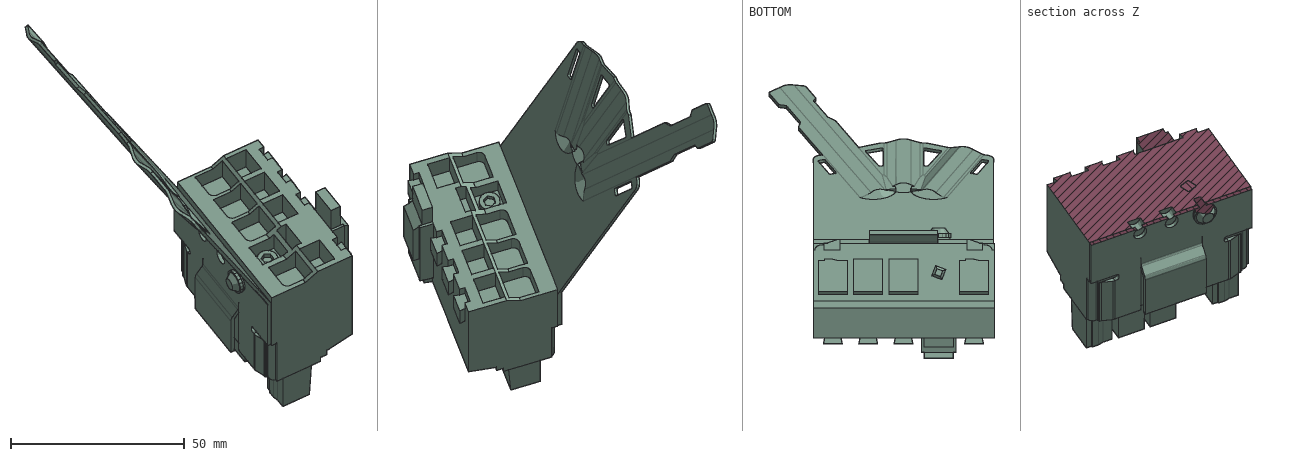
import cadquery as cq
import math

EPS = 0.7
row_width = 50.8
pole_count = 5
pitch = row_width / pole_count
ground_x = pitch
plug_poles = [-2 * pitch, -pitch, 0, 2 * pitch]
outer_poles = [-2 * pitch, 2 * pitch]

left_x, right_x = -26.0, 26.2
back_y = 27.2
top_z = 39.6
front_top_z = 37.3
back_bottom_z = 5.6
step_front_y, step_back_y, step_z = 16.5, 18.6, 1.6
slope_front_y, slope_back_y = 11.3, 15.6

pocket_floor_z = 32.1
front_pocket_w, front_pocket_y0, front_pocket_y1 = 9.2, 5.3, 14.5
front_pocket_r = 1.8
rear_pocket_w, rear_pocket_y0, rear_pocket_y1 = 8.5, 15.6, 22.3
ground_slot_w, ground_slot_y0, ground_slot_y1 = 8.5, 14.0, 17.2
well_w, well_y0, well_y1 = 7.6, 4.5, 12.8

key_inner_w, key_outer_w = 4.8, 5.5
key_notch_y, key_y = 25.5, 28.8
key_bottom_z, key_top_z = 29.2, 36.3

plate_t = 1.2
plate_half_w = 26.0
plate_bottom_z = -0.4
bend_z = 34.7
hole_r = 2.0
plate_hole_z = 30.3
housing_hole_z = 32.5
housing_hole_depth = 2.7

corner_depth = 1.8
corner_top_z = 16.5
rail_top_z = 14.9
rail_inner_x = 18.3
slot_inner_x = 17.0
slot_top_z = 17.0
keyhole_r = 0.8

clip_half_w, clip_window_half_w = 9.8, 10.0
clip_slit_top_z = 20.1
clip_root_z, clip_knee_z = 17.5, 14.3
clip_root_r, clip_knee_r = 1.1, 2.0
clip_reach = 3.8

flap_angle = 27.0
flap_t = 1.0
fan_angle = 21.5
fan_apex = 10.9
channel_half_w, toe_half_w, crown_half_w = 5.6, 4.8, 2.2
toe_h, shoulder_h, crown_h = 0.1, 1.0, 1.4
outer_channel_start, middle_channel_start = 17.0, 19.7
channel_end_r, channel_end_run = 6.8, 3.4
straight_toe_h = shoulder_h * (channel_half_w - toe_half_w) / (channel_half_w - crown_half_w)
web_half_w, web_h = 1.8, 0.8
web_start, web_end = 20.5, 31.4
tongue_half_w, tongue_neck_half_w = 5.7, 4.2
tongue_length = 91.6
tongue_tip_r = 0.7
neck_steps = [68.0, 70.2, 81.3, 83.5]
flap_peak_x, flap_peak_t = 6.7, 62.0
flap_shoulder_x, flap_shoulder_t = 23.5, 54.5
flap_corner_t = 51.1
flap_corner_mid = (25.4, 53.4)
tie_slot_w, tie_slot_length = 2.2, 9.3
tie_slot_offset, tie_slot_middle = 7.2, 41.5
opening_r = 0.4

prong_w, prong_length = 8.3, 14.5
prong_rib = 0.4

flange_sides = 20
pin_side, pin_turn = 3.1, 21.0
pin_bottom_z, pin_chamfer = -8.6, 0.7
contact_y = 8.3


def box(x0, x1, y0, y1, z0, z1):
    """Box between two opposite corners."""
    return cq.Workplane("XY").box(x1 - x0, y1 - y0, z1 - z0, centered=False).translate((x0, y0, z0))


def pole_box(x, width, y0, y1, z0, z1):
    """Box centred on a pole."""
    return box(x - width / 2, x + width / 2, y0, y1, z0, z1)


def side_profile(points, x0, x1):
    """Prism with a (Y, Z) outline, running along X."""
    return cq.Workplane("YZ", origin=(x0, 0, 0)).polyline(points).close().extrude(x1 - x0)


def both_sides(left):
    """A left-hand solid together with its mirror image."""
    return left.union(left.mirror("YZ"))


def front_hole(x, z):
    """Blind hole in the front face."""
    return cq.Workplane("XZ", origin=(x, 0, z)).circle(hole_r).extrude(-housing_hole_depth)


def turned_square(z0, z1):
    """Square ground pin, turned about its own axis."""
    pin = cq.Workplane("XY").rect(pin_side, pin_side).extrude(z1 - z0)
    return pin.rotate((0, 0, 0), (0, 0, 1), pin_turn).translate((ground_x, contact_y, z0))


def make_key(x):
    """Dovetail key on the back face."""
    inner, outer = key_inner_w / 2, key_outer_w / 2
    plan = [(-inner, back_y), (-outer, key_y), (outer, key_y), (inner, back_y)]
    key = cq.Workplane("XY", origin=(x, 0, key_bottom_z)).polyline(plan).close()
    return key.extrude(key_top_z - key_bottom_z)


def make_corner_rails():
    """Stepped, bevelled rail in each lower front corner."""
    outer = (
        cq.Workplane("XY")
        .moveTo(left_x, corner_depth)
        .lineTo(-25.5, corner_depth)
        .threePointArc((-25.0, 0.8), (-23.8, 0.4))
        .lineTo(-23.2, 0.4)
        .lineTo(-23.2, 0)
        .lineTo(-rail_inner_x, 0)
        .lineTo(-rail_inner_x, corner_depth)
        .close()
        .extrude(corner_top_z)
    )
    bevel = [
        (-22.8, corner_depth),
        (-22.8, -0.1),
        (-22.1, -0.1),
        (-19.0, -plate_t),
        (-rail_inner_x, -plate_t),
        (-rail_inner_x, corner_depth),
    ]
    inner = cq.Workplane("XY", origin=(0, 0, plate_bottom_z)).polyline(bevel).close()
    return both_sides(outer.union(inner.extrude(rail_top_z - plate_bottom_z)))


def make_housing():
    outline = [
        (0, 0),
        (0, front_top_z),
        (slope_front_y, front_top_z),
        (slope_back_y, top_z),
        (back_y, top_z),
        (back_y, back_bottom_z),
        (step_back_y, 3.4),
        (step_back_y, step_z),
        (step_front_y, step_z),
        (step_front_y, 0),
    ]
    housing = side_profile(outline, left_x, right_x)
    above = top_z + EPS
    for x in plug_poles:
        front = pole_box(x, front_pocket_w, front_pocket_y0, front_pocket_y1, pocket_floor_z, above)
        housing = housing.cut(front.edges("|Z and >X and <Y").fillet(front_pocket_r))
        housing = housing.cut(
            pole_box(x, rear_pocket_w, rear_pocket_y0, rear_pocket_y1, pocket_floor_z, above)
        )
        housing = housing.cut(pole_box(x, key_inner_w, key_notch_y, back_y + EPS, key_top_z, above))
        housing = housing.union(make_key(x))
    housing = housing.cut(
        pole_box(ground_x, ground_slot_w, ground_slot_y0, ground_slot_y1, pocket_floor_z, above)
    )
    housing = housing.cut(pole_box(ground_x, well_w, well_y0, well_y1, pocket_floor_z, above))
    housing = housing.cut(turned_square(-EPS, above))
    for x in (-pitch, 0):
        housing = housing.cut(front_hole(x, housing_hole_z))
    housing = housing.cut(front_hole(ground_x, plate_hole_z))
    left_corner = box(left_x - EPS, -rail_inner_x, -EPS, corner_depth, -EPS, corner_top_z)
    return housing.cut(both_sides(left_corner)).union(make_corner_rails())


lean = math.radians(flap_angle)
flap_plane = cq.Plane(
    origin=(0, 0, bend_z), xDir=(1, 0, 0), normal=(0, -math.cos(lean), -math.sin(lean))
)


def in_flap(solid):
    """Move a solid from flap axes (X across, Y up the flap, Z out of its front) into place."""
    return cq.Workplane(solid.val().moved(cq.Location(flap_plane)))


def along_fan(solid, angle):
    """Move a solid from channel axes (Y along the channel, from the apex) into flap axes."""
    return solid.rotate((0, 0, 0), (0, 0, 1), angle).translate((0, fan_apex, 0))


def make_channel(start, toe):
    """Ridge with a round crown and a sloping, rounded lower end; toe is the height at its foot."""
    length = tongue_length + EPS
    ridge = (
        cq.Workplane("XZ")
        .moveTo(-channel_half_w, 0)
        .lineTo(-toe_half_w, toe)
        .lineTo(-crown_half_w, shoulder_h)
        .threePointArc((0, crown_h), (crown_half_w, shoulder_h))
        .lineTo(toe_half_w, toe)
        .lineTo(channel_half_w, 0)
        .close()
        .extrude(-length)
    )
    end_y = start + channel_end_r
    cone = cq.Solid.makeCone(channel_end_r, channel_end_r - channel_end_run, crown_h)
    end = cq.Workplane(cone).translate((0, end_y, 0))
    body = box(-channel_half_w, channel_half_w, end_y, length, 0, crown_h)
    return ridge.intersect(end).union(ridge.intersect(body))


def make_web():
    """Wedge that fills the bottom of the valley between two channels."""
    outline = [(web_start, 0), (web_start, web_h), (web_end, 0)]
    return side_profile(outline, -web_half_w, web_half_w)


def prism(points, z0, z1):
    """Prism with an (X, Y) outline."""
    return cq.Workplane("XY", origin=(0, 0, z0)).polyline(points).close().extrude(z1 - z0)


def make_flap_outline(z0, z1):
    """Outline of the flap with its long left tongue, as a prism in flap axes."""
    corner_x, corner_t = flap_corner_mid
    blade = (
        cq.Workplane("XY", origin=(0, 0, z0))
        .moveTo(-plate_half_w, 0)
        .lineTo(-plate_half_w, flap_corner_t)
        .threePointArc((-corner_x, corner_t), (-flap_shoulder_x, flap_shoulder_t))
        .lineTo(-flap_peak_x, flap_peak_t)
        .lineTo(flap_peak_x, flap_peak_t)
        .lineTo(flap_shoulder_x, flap_shoulder_t)
        .threePointArc((corner_x, corner_t), (plate_half_w, flap_corner_t))
        .lineTo(plate_half_w, 0)
        .close()
        .extrude(z1 - z0)
    )
    start = outer_channel_start + channel_end_r
    neck0, neck1, neck2, neck3 = neck_steps
    right_edge = [
        (tongue_half_w, start),
        (tongue_half_w, neck0),
        (tongue_neck_half_w, neck1),
        (tongue_neck_half_w, neck2),
        (tongue_half_w, neck3),
        (tongue_half_w, tongue_length),
    ]
    left_edge = [(-x, y) for x, y in reversed(right_edge)]
    tongue = prism(right_edge + left_edge, z0, z1).edges("|Z and >Y").fillet(tongue_tip_r)
    return blade.union(along_fan(tongue, fan_angle))


def make_flap_holes():
    """Tie slots beside the outer channels and windows between the channels."""
    depth = flap_t + 2 * EPS
    slot = cq.Workplane("XY", origin=(-tie_slot_offset, tie_slot_middle, -EPS))
    slot = slot.rect(tie_slot_w, tie_slot_length).extrude(depth)
    slot = along_fan(slot.edges("|Z").fillet(opening_r), fan_angle)
    window = [(-11.0, 57.1), (-5.9, 59.0), (-5.9, 47.5), (-7.1, 47.5)]
    window = prism(window, -EPS, depth - EPS).edges("|Z").fillet(opening_r)
    return both_sides(slot.union(window))


def make_flap():
    height = flap_t + crown_h
    sheet = cq.Workplane("XY").rect(4 * tongue_length, 4 * tongue_length).extrude(flap_t)
    ridges = [
        along_fan(make_channel(outer_channel_start, straight_toe_h), fan_angle),
        along_fan(make_channel(middle_channel_start, toe_h), 0),
        along_fan(make_channel(outer_channel_start, toe_h), -fan_angle),
        along_fan(make_web(), fan_angle / 2),
        along_fan(make_web(), -fan_angle / 2),
    ]
    for ridge in ridges:
        sheet = sheet.union(ridge.translate((0, 0, flap_t)))
    for ridge in ridges:
        sheet = sheet.cut(ridge)
    flap = sheet.intersect(make_flap_outline(-EPS, height + EPS))
    return in_flap(flap.cut(make_flap_holes()))


def make_clip():
    """Spring clip bent forward out of the plate."""
    slant = math.atan((clip_reach - plate_t) / (clip_root_z - clip_knee_z))
    back_drop = plate_t * math.tan(slant / 2)
    front_root = (-plate_t, clip_root_z)
    front_knee = (-clip_reach, clip_knee_z)
    back_knee = (plate_t - clip_reach, clip_knee_z - back_drop)
    back_root = (0, clip_root_z - back_drop)
    outline = [
        (0, clip_slit_top_z),
        (-plate_t, clip_slit_top_z),
        front_root,
        front_knee,
        (-clip_reach, 0),
        (plate_t - clip_reach, 0),
        back_knee,
        back_root,
    ]
    clip = side_profile(outline, -clip_half_w, clip_half_w)
    bends = [
        (front_root, clip_root_r),
        (front_knee, clip_knee_r),
        (back_knee, clip_knee_r - plate_t),
        (back_root, clip_root_r + plate_t),
    ]
    for (y, z), radius in bends:
        clip = clip.edges(cq.selectors.NearestToPointSelector((0, y, z))).fillet(radius)
    return clip


def make_plate():
    plate = box(-plate_half_w, plate_half_w, -plate_t, 0, plate_bottom_z, bend_z)
    below = plate_bottom_z - EPS
    front, back = -plate_t - EPS, EPS
    plate = plate.cut(
        box(-clip_window_half_w, clip_window_half_w, front, back, below, clip_slit_top_z)
    )
    rail_opening = box(-plate_half_w - EPS, -rail_inner_x, front, back, below, slot_top_z)
    keyhole = box(-plate_half_w, -slot_inner_x, front, back, rail_top_z, slot_top_z)
    keyhole = keyhole.edges("|Y and >X").fillet(keyhole_r)
    plate = plate.cut(both_sides(rail_opening.union(keyhole)))
    for x in (-pitch, 0, ground_x):
        plate = plate.cut(
            cq.Workplane("XZ", origin=(x, back, plate_hole_z)).circle(hole_r).extrude(back - front)
        )
    return plate.union(make_clip()).union(make_flap())


def make_screw():
    """Screw with a washer, a many-sided flange and a tapered head."""
    washer_r, flange_d, head_r, tip_r = 3.3, 7.1, 3.0, 1.8
    washer_t, flange_t, head_h = 0.5, 1.1, 1.6
    shank_length = housing_hole_depth + plate_t
    screw = cq.Workplane("XY").circle(hole_r).extrude(shank_length + EPS)
    screw = screw.union(cq.Workplane("XY", origin=(0, 0, shank_length)).circle(washer_r).extrude(washer_t))
    flange = cq.Workplane("XY", origin=(0, 0, shank_length + washer_t)).polygon(flange_sides, flange_d)
    screw = screw.union(flange.extrude(flange_t))
    head = cq.Solid.makeCone(head_r, tip_r, head_h)
    screw = screw.union(cq.Workplane(head).translate((0, 0, shank_length + washer_t + flange_t)))
    screw = screw.rotate((0, 0, 0), (1, 0, 0), 90)
    return screw.translate((ground_x, housing_hole_depth, plate_hole_z))


def make_ground_contact():
    """Square pin through the housing with a many-sided socket head at the bottom of the well."""
    head_d, head_h, socket_w, socket_depth = 6.0, 2.0, 3.5, 1.4
    pin = turned_square(pin_bottom_z, pocket_floor_z).faces("<Z").chamfer(pin_chamfer)
    head = cq.Workplane("XY", origin=(ground_x, contact_y, pocket_floor_z)).polygon(flange_sides, head_d)
    head = head.extrude(head_h).faces(">Z").workplane().polygon(6, socket_w).cutBlind(-socket_depth)
    return pin.union(head)


def make_latch():
    block_w, tab_w = 10.0, 8.5
    block_y, step_y, tab_y, hook_y = 31.3, 29.8, 30.3, 33.0
    block_bottom_z, hook_bottom_z, hook_top_z, tab_top_z = 9.4, 20.8, 38.0, 47.8
    block = [
        (back_y, block_bottom_z - 0.4),
        (back_y, top_z),
        (block_y, top_z),
        (block_y, block_bottom_z),
    ]
    foot = [
        (back_y, back_bottom_z),
        (back_y, block_bottom_z),
        (step_y, block_bottom_z),
        (step_y, 6.3),
    ]
    hook = [
        (back_y, hook_bottom_z),
        (back_y, top_z),
        (hook_y, top_z),
        (hook_y, hook_bottom_z),
    ]
    hook_bevel = [
        (tab_y, top_z),
        (hook_y + EPS, top_z),
        (hook_y + EPS, hook_top_z),
        (hook_y, hook_top_z),
    ]
    tab_x0, tab_x1 = ground_x - tab_w / 2, ground_x + tab_w / 2
    latch = side_profile(block, ground_x - block_w / 2, ground_x + block_w / 2)
    latch = latch.union(side_profile(foot, tab_x0, tab_x1)).union(side_profile(hook, tab_x0, tab_x1))
    latch = latch.cut(side_profile(hook_bevel, tab_x0, tab_x1))
    return latch.union(pole_box(ground_x, tab_w, back_y, tab_y, top_z, tab_top_z))


def make_prong(x):
    """Tapered contact prong below a pole; the outermost two carry a bevelled rib."""
    front_y = 4.4
    recess_y = front_y + prong_rib
    taper = [(14.6, 0), (13.8, -prong_length), (front_y, -prong_length), (front_y, 0)]
    prong = side_profile(taper, x - prong_w / 2, x + prong_w / 2)
    if x in outer_poles:
        rib_left, rib_right, bevel_end = x - 2.5, x - 0.4, x + 1.2
        prong = prong.cut(box(x - prong_w, rib_left, 0, recess_y, -prong_length, 0))
        beside_rib = [
            (rib_right, front_y),
            (bevel_end, recess_y),
            (x + prong_w, recess_y),
            (x + prong_w, front_y),
        ]
        prong = prong.cut(prism(beside_rib, -prong_length, 0))
    return prong


housing = make_housing()
plate = make_plate()
screw = make_screw()
ground_contact = make_ground_contact()
latch = make_latch()
prongs = [make_prong(x) for x in plug_poles]

result = cq.Compound.makeCompound(
    [
        housing.solids().val(),
        plate.solids().val(),
        screw.solids().val(),
        ground_contact.solids().val(),
        latch.solids().val(),
        *[prong.solids().val() for prong in prongs],
    ]
)